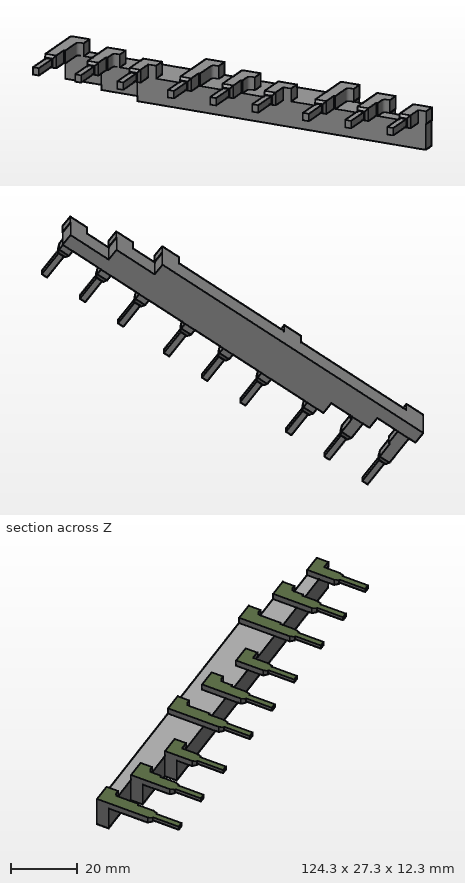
import cadquery as cq

length = 124.3
depth = 27.3
height = 12.3
bar_stack_depth = 12.0
bar_count = 3
group_count = 3
group_pitch = 45.0
terminal_pitch = 14.0
bar_end_gap = 0.1

arm_height = 4.1
arm_root_width = 4.1
arm_width = 3.6
arm_end = 17.3
corner_radius = 1.0
collar_length = 1.4
collar_side_inset = 0.5
collar_top_inset = 0.6
pin_width = 2.0
pin_height = 2.4

bar_height = height - arm_height
bar_thickness = bar_stack_depth / bar_count
last_terminal = (group_count - 1) * group_pitch + (bar_count - 1) * terminal_pitch
head_width = length - last_terminal
pin_start = arm_end + collar_length
arm_middle_x = arm_width / 2
arm_middle_z = bar_height + arm_height / 2


def terminal_x(group, bar):
    """Left side of the terminal that a bar carries in a group."""
    return group * group_pitch + bar * terminal_pitch


def make_bar(bar):
    """Upright strip running from its first terminal to its last one."""
    first = terminal_x(0, bar)
    last = terminal_x(group_count - 1, bar)
    bar_length = last + head_width - bar_end_gap - first
    bar_front = -(bar + 1) * bar_thickness
    strip = cq.Workplane("XY").box(bar_length, bar_thickness, bar_height, centered=False)
    return strip.translate((first, bar_front, 0))


def make_head_and_arm(bar):
    """L-shaped top of a terminal, its left side at X = 0."""
    head_back = -bar * bar_thickness
    head_front = head_back - bar_thickness
    outline = (
        cq.Workplane("XY", origin=(0, 0, bar_height))
        .moveTo(0, head_back)
        .lineTo(head_width, head_back)
        .lineTo(head_width, head_front)
    )
    if bar < bar_count - 1:
        outline = (
            outline.lineTo(arm_root_width + corner_radius, head_front)
            .radiusArc((arm_root_width, head_front - corner_radius), -corner_radius)
            .lineTo(arm_root_width, -bar_stack_depth)
        )
    return (
        outline.lineTo(arm_width, -bar_stack_depth)
        .lineTo(arm_width, -arm_end)
        .lineTo(0, -arm_end)
        .close()
        .extrude(arm_height)
    )


def make_collar_and_pin():
    """Tapered collar at the arm end and the contact pin that leaves it."""
    collar = (
        cq.Workplane("XZ", origin=(arm_middle_x, -arm_end, arm_middle_z))
        .rect(arm_width, arm_height)
        .workplane(offset=collar_length)
        .rect(arm_width - 2 * collar_side_inset, arm_height - 2 * collar_top_inset)
        .loft(ruled=True)
    )
    pin = (
        cq.Workplane("XZ", origin=(arm_middle_x, -pin_start, arm_middle_z))
        .rect(pin_width, pin_height)
        .extrude(depth - pin_start)
    )
    return collar.union(pin)


result = make_bar(0)
for bar in range(1, bar_count):
    result = result.union(make_bar(bar))

for bar in range(bar_count):
    terminal = make_head_and_arm(bar).union(make_collar_and_pin())
    for group in range(group_count):
        result = result.union(terminal.translate((terminal_x(group, bar), 0, 0)))